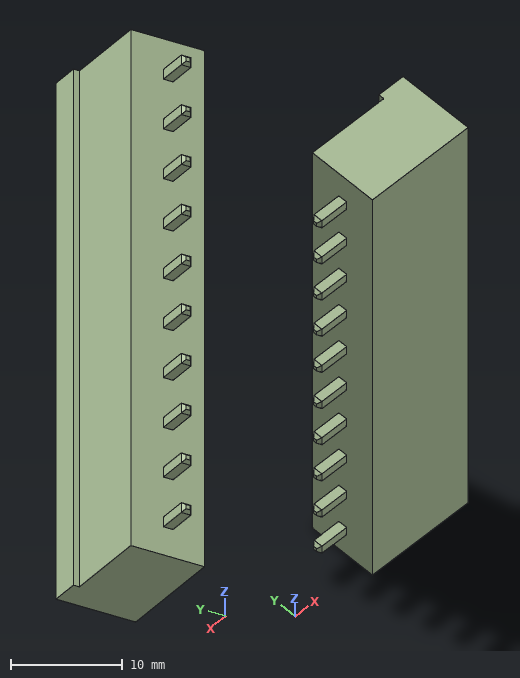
import cadquery as cq

HOUSING_HEIGHT = 52.7
HOUSING_LENGTH = 12.0
HOUSING_DEPTH = 8.35
LIP_LENGTH = 3.05
LIP_RISE = 0.65

PIN_COUNT = 10
PIN_ROW_SPAN = 45.7
PIN_PITCH = PIN_ROW_SPAN / (PIN_COUNT - 1)
LOWEST_PIN_Z = 3.4
PIN_Y = 3.8
PIN_WIDTH = 1.0
PIN_LENGTH = 3.5
TIP_LENGTH = 0.35
TIP_WIDTH = 0.4
SHANK_LENGTH = PIN_LENGTH - TIP_LENGTH


def make_housing():
    """Extrude the stepped XY outline upward from Z = 0, with the pin face at X = 0."""
    lip_start = HOUSING_LENGTH - LIP_LENGTH
    main_depth = HOUSING_DEPTH - LIP_RISE
    outline = [
        (0, 0),
        (HOUSING_LENGTH, 0),
        (HOUSING_LENGTH, HOUSING_DEPTH),
        (lip_start, HOUSING_DEPTH),
        (lip_start, main_depth),
        (0, main_depth),
    ]
    return cq.Workplane("XY").polyline(outline).close().extrude(HOUSING_HEIGHT)


def make_pin(z):
    """Make a pin centred at height z, pointing along -X from the pin face."""
    pin_face = cq.Plane(origin=(0, PIN_Y, z), xDir=(0, 0, 1), normal=(-1, 0, 0))
    shank = cq.Workplane(pin_face).rect(PIN_WIDTH, PIN_WIDTH).extrude(SHANK_LENGTH)
    tip = (
        cq.Workplane(pin_face)
        .workplane(offset=SHANK_LENGTH)
        .rect(PIN_WIDTH, PIN_WIDTH)
        .workplane(offset=TIP_LENGTH)
        .rect(TIP_WIDTH, TIP_WIDTH)
        .loft(ruled=True)
    )
    return shank.union(tip)


result = make_housing()
for index in range(PIN_COUNT):
    result = result.union(make_pin(LOWEST_PIN_Z + index * PIN_PITCH))